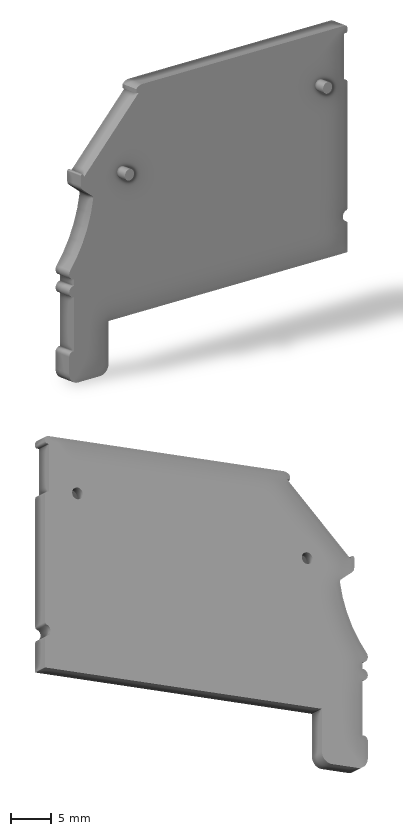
import cadquery as cq

plate_thickness = 2.6
length = 45.4
height = 36.7

pin_length = 1.5
pin_diameter = 1.5
socket_depth = pin_length
pin_centers = [(40.85, 29.87), (8.55, 25.95)]

recess_depth = 0.55
recess_bottom = 29.55
lip_bottom = 35.7
notch_z = 11.7
notch_radius = 0.75
notch_mouth_round = 0.3

flat_top_end_y = 11.95
shoulder_lip = (10.95, 36.25)
slope_top_y = 11.35
slope_bottom = (2.45, 26.75)
hook_y = 1.9
hook_tip = (2.22, 27.1)
hook_bottom_z = 25.25

curve_top = (3.95, 23.75)
curve_middle = (2.72, 19.25)
curve_bottom = (0.15, 14.9)

bead_radius = 0.75
near_wall_y = bead_radius
upper_bead_bottom = 13.65
upper_bead_nose = (0.0, 14.4)
lower_bead_z = 12.08
foot_top = 4.25
foot_back_y = 6.45
body_bottom = 6.9
foot_round = 1.4
foot_top_round = 0.6

lip_top_round = 0.4
hook_tip_round = 0.2
hook_bottom_round = 0.73
curve_top_round = 0.35
lip_bottom_round = 0.25
recess_round = 0.35


def make_plate():
    """Extrude the outline, traced from the lower far corner up and over the top."""
    outline = (
        cq.Workplane("YZ")
        .moveTo(length, body_bottom)
        .lineTo(length, notch_z - notch_radius)
        .threePointArc((length - notch_radius, notch_z), (length, notch_z + notch_radius))
        .lineTo(length, recess_bottom)
        .lineTo(length - recess_depth, recess_bottom)
        .lineTo(length - recess_depth, lip_bottom)
        .lineTo(length, lip_bottom)
        .lineTo(length, height)
        .lineTo(flat_top_end_y, height)
        .tangentArcPoint(shoulder_lip, relative=False)
        .lineTo(shoulder_lip[0], lip_bottom)
        .lineTo(slope_top_y, lip_bottom)
        .lineTo(*slope_bottom)
        .lineTo(*hook_tip)
        .lineTo(hook_y, hook_tip[1])
        .lineTo(hook_y, hook_bottom_z)
        .lineTo(*curve_top)
        .threePointArc(curve_middle, curve_bottom)
        .threePointArc(upper_bead_nose, (near_wall_y, upper_bead_bottom))
        .lineTo(near_wall_y, lower_bead_z + bead_radius)
        .threePointArc((0, lower_bead_z), (near_wall_y, lower_bead_z - bead_radius))
        .lineTo(near_wall_y, foot_top)
        .lineTo(0, foot_top)
        .lineTo(0, 0)
        .lineTo(foot_back_y, 0)
        .lineTo(foot_back_y, body_bottom)
        .close()
    )
    return outline.extrude(plate_thickness)


def round_corner(plate, corner, radius):
    """Round the thickness edge standing at the given (Y, Z) corner."""
    y, z = corner
    edge = cq.selectors.NearestToPointSelector((plate_thickness / 2, y, z))
    return plate.edges("|X").edges(edge).fillet(radius)


def cylinders(start_x, depth):
    """Cylinders along X at every pin center, starting at start_x."""
    return (
        cq.Workplane("YZ", origin=(start_x, 0, 0))
        .pushPoints(pin_centers)
        .circle(pin_diameter / 2)
        .extrude(depth)
    )


corner_rounds = [
    ((length, notch_z - notch_radius), notch_mouth_round),
    ((length, notch_z + notch_radius), notch_mouth_round),
    ((length, recess_bottom), recess_round),
    ((length, lip_bottom), lip_bottom_round),
    ((length, height), lip_top_round),
    ((hook_y, hook_tip[1]), hook_tip_round),
    ((hook_y, hook_bottom_z), hook_bottom_round),
    (curve_top, curve_top_round),
    ((0, foot_top), foot_top_round),
    ((0, 0), foot_round),
    ((foot_back_y, 0), foot_round),
]

plate = make_plate()
for corner, radius in corner_rounds:
    plate = round_corner(plate, corner, radius)

result = plate.cut(cylinders(0, socket_depth)).union(cylinders(plate_thickness, pin_length))